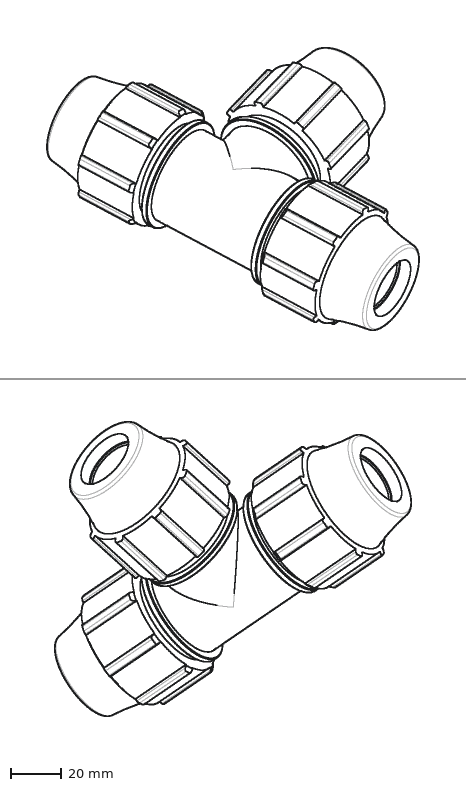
import cadquery as cq
import math

run_half_length = 78.0
branch_length = 78.0
tube_radius = 40.5 / 2
bore_radius = 22.5 / 2

collar_radius = 47.0 / 2
run_collar_width = 2.7
branch_collar_width = 2.3
collar_chamfer = 0.3
run_collar_offset = 49.9
branch_collar_offset = 51.5

mouth_radius = 19.0
mouth_rounding = 1.1
socket_radius = 25.0 / 2
socket_depth = 5.1
shoulder_chamfer = 0.6
flare_end = 19.2
flare_end_radius = 23.0
flare_sag = 0.5
nut_end = 46.6
nut_radius = 25.1

rib_count = 8
rib_top_height = 27.0
rib_width = 4.2
rib_rounding = 1.0
run_rib_bevel = 1.5
branch_rib_bevel = 0

front_depth = 1.4
rib_reach = math.hypot(rib_top_height, rib_width / 2)


def cylinder(radius, start, end):
    """Solid cylinder along Z between two heights."""
    return cq.Workplane("XY").workplane(offset=start).circle(radius).extrude(end - start)


def revolve_about_z(profile):
    """Turn a profile of (radius, height) points around the Z axis."""
    return profile.close().revolve(360, (0, 0, 0), (0, 1, 0)).rotate((0, 0, 0), (1, 0, 0), 90)


def mouth():
    """Rounded rim and concave flare, with the open end at Z = 0."""
    rounding_mid = mouth_rounding * (1 - math.sqrt(0.5))
    flare_mid_radius = (mouth_radius + flare_end_radius) / 2 - flare_sag
    flare_mid = (mouth_rounding + flare_end) / 2
    profile = (
        cq.Workplane("XY")
        .lineTo(mouth_radius - mouth_rounding, 0)
        .threePointArc((mouth_radius - rounding_mid, rounding_mid), (mouth_radius, mouth_rounding))
        .threePointArc((flare_mid_radius, flare_mid), (flare_end_radius, flare_end))
        .lineTo(0, flare_end)
    )
    return revolve_about_z(profile)


def grip_envelope(rib_bevel):
    """Turned blank of the barrel: sloped front face and optional bevel at the tail."""
    profile = (
        cq.Workplane("XY")
        .moveTo(0, flare_end)
        .lineTo(flare_end_radius, flare_end)
        .lineTo(rib_reach, flare_end + front_depth)
        .lineTo(rib_reach, nut_end - rib_bevel)
    )
    if rib_bevel > 0:
        profile = profile.lineTo(rib_reach - rib_bevel, nut_end)
    return revolve_about_z(profile.lineTo(0, nut_end))


def grip(rib_bevel):
    """Barrel with rounded ribs spread evenly, half a pitch away from the main axes."""
    rib_pair = (
        cq.Workplane("XY")
        .workplane(offset=flare_end)
        .rect(2 * rib_top_height, rib_width)
        .extrude(nut_end - flare_end)
        .edges("|Z")
        .fillet(rib_rounding)
    )
    pitch = 360 / rib_count
    barrel = cylinder(nut_radius, flare_end, nut_end)
    for index in range(rib_count // 2):
        barrel = barrel.union(rib_pair.rotate((0, 0, 0), (0, 0, 1), (index + 0.5) * pitch))
    return barrel.intersect(grip_envelope(rib_bevel))


def collar(offset, width):
    """Flat ring around the tube with slightly broken edges."""
    return cylinder(collar_radius, offset, offset + width).edges().chamfer(collar_chamfer)


def arm(length, collar_offset, collar_width, rib_bevel):
    """Nut, collar and tube along Z, from the mouth at Z = 0 to the tee centre."""
    body = mouth().union(grip(rib_bevel)).union(cylinder(tube_radius, flare_end, length))
    return body.union(collar(collar_offset, collar_width))


def arm_bore(length):
    """Through bore with a wider pipe socket at the mouth, its shoulder chamfered at the inner edge."""
    profile = (
        cq.Workplane("XY")
        .lineTo(socket_radius, 0)
        .lineTo(socket_radius, socket_depth)
        .lineTo(bore_radius + shoulder_chamfer, socket_depth)
        .lineTo(bore_radius, socket_depth + shoulder_chamfer)
        .lineTo(bore_radius, length)
        .lineTo(0, length)
    )
    return revolve_about_z(profile)


def to_left(shape):
    """Place an arm so that its mouth faces -X."""
    return shape.rotate((0, 0, 0), (0, 1, 0), 90).translate((-run_half_length, 0, 0))


def to_right(shape):
    """Place an arm so that its mouth faces +X."""
    return shape.rotate((0, 0, 0), (0, 1, 0), -90).translate((run_half_length, 0, 0))


def to_branch(shape):
    """Place an arm so that its mouth faces +Y."""
    return shape.rotate((0, 0, 0), (1, 0, 0), 90).translate((0, branch_length, 0))


run_arm = arm(run_half_length, run_collar_offset, run_collar_width, run_rib_bevel)
run_bore = arm_bore(run_half_length)
branch_arm = arm(branch_length, branch_collar_offset, branch_collar_width, branch_rib_bevel)
branch_bore = arm_bore(branch_length)

result = to_left(run_arm).union(to_right(run_arm)).union(to_branch(branch_arm))
for bore in (to_left(run_bore), to_right(run_bore), to_branch(branch_bore)):
    result = result.cut(bore)